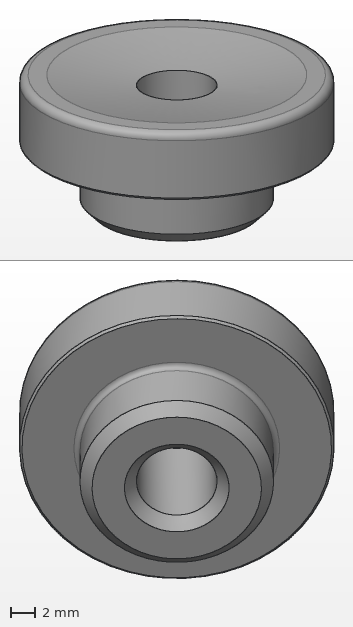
import cadquery as cq
import math

total_height = 12.0
head_diameter = 26.0
head_bottom = 6.0
head_bottom_chamfer = 0.2
head_top_round = 0.7

hub_diameter = 16.0
hub_chamfer = 1.0
hub_neck_round = 0.5

bore_diameter = 6.65
bore_countersink = 1.0

dish_diameter = 21.5
dish_depth = 1.0

head_radius = head_diameter / 2
hub_radius = hub_diameter / 2
bore_radius = bore_diameter / 2
dish_radius = dish_diameter / 2


def make_body():
    """Solid hub and head, turned from half of their cross-section."""
    half_way = math.sqrt(0.5)
    neck_center_r = hub_radius + hub_neck_round
    neck_center_z = head_bottom - hub_neck_round
    top_center_r = head_radius - head_top_round
    top_center_z = total_height - head_top_round

    profile = (
        cq.Workplane("XZ")
        .moveTo(0, 0)
        .lineTo(hub_radius - hub_chamfer, 0)
        .lineTo(hub_radius, hub_chamfer)
        .lineTo(hub_radius, neck_center_z)
        .threePointArc(
            (neck_center_r - hub_neck_round * half_way, neck_center_z + hub_neck_round * half_way),
            (neck_center_r, head_bottom),
        )
        .lineTo(head_radius - head_bottom_chamfer, head_bottom)
        .lineTo(head_radius, head_bottom + head_bottom_chamfer)
        .lineTo(head_radius, top_center_z)
        .threePointArc(
            (top_center_r + head_top_round * half_way, top_center_z + head_top_round * half_way),
            (top_center_r, total_height),
        )
        .lineTo(0, total_height)
        .close()
    )
    return profile.revolve(360, (0, 0, 0), (0, 1, 0))


def make_dish():
    """Sphere that hollows the top face to the dish diameter and depth."""
    sphere_radius = (dish_radius**2 + dish_depth**2) / (2 * dish_depth)
    sphere_center_z = total_height - dish_depth + sphere_radius
    return cq.Workplane("XY").sphere(sphere_radius).translate((0, 0, sphere_center_z))


def make_bore():
    """Through bore with a 45 degree countersink at the base."""
    bore = cq.Workplane("XY").circle(bore_radius).extrude(total_height)
    countersink = cq.Workplane(
        cq.Solid.makeCone(bore_radius + bore_countersink, bore_radius, bore_countersink)
    )
    return bore.union(countersink)


result = make_body().cut(make_dish()).cut(make_bore())